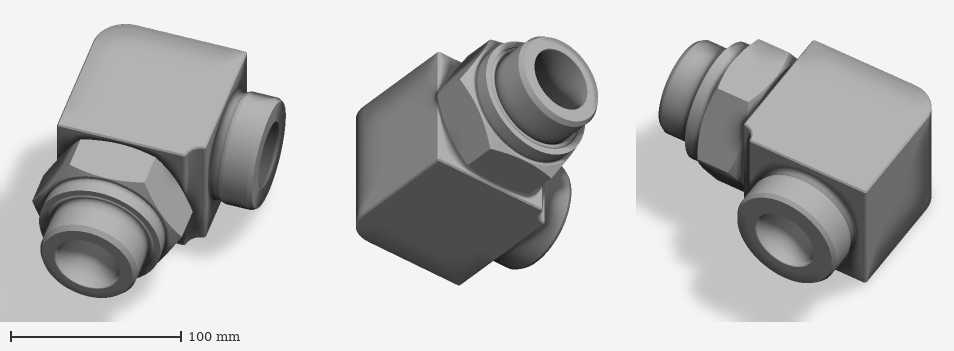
import cadquery as cq
import math


block_height = 80.0
block_half = block_height / 2
block_right = 48.8
block_front = -49.9
back_corner_radius = 20.0
inner_corner_radius = 9.5
block_chamfer = 1.0

bore_diameter = 40.0
bore_mouth_chamfer = 0.3

outlet_diameter = 68.0
outlet_neck_diameter = 65.0
outlet_end = 74.9
outlet_root_fillet = 1.7
outlet_thread_start = 54.5
outlet_undercut_fillet = 0.8
outlet_lead_in = 2.2
outlet_end_chamfer_length = 2.6
outlet_end_diameter = 65.0

overall_length = 155.0
stud_end = block_half - overall_length
stud_diameter = 60.0
stud_tip_diameter = 56.0
stud_chamfer_length = 3.1
shoulder_diameter = 67.0
shoulder_root_fillet = 1.7

nut_across_flats = block_height
nut_across_corners = nut_across_flats / math.cos(math.radians(30))
nut_back = -52.5
nut_length = 28.7
nut_front = nut_back - nut_length
nut_face_diameter = 79.0
nut_chamfer_angle = 30.0

washer_diameter = 75.0
washer_thickness = 9.9
washer_front = nut_front - washer_thickness
ring_outer_diameter = 67.3
ring_inner_diameter = 60.9
ring_section_radius = (ring_outer_diameter - ring_inner_diameter) / 4
ring_center_radius = (ring_outer_diameter + ring_inner_diameter) / 4
ring_protrusion = 0.5
ring_recess_depth = 2 * ring_section_radius - ring_protrusion


def cylinder_along_stud(diameter, y_start, y_end):
    """Cylinder on the stud axis, from y_start toward -Y down to y_end."""
    base = cq.Workplane("XZ", origin=(0, y_start, 0))
    return base.circle(diameter / 2).extrude(y_start - y_end)


def make_block():
    """Square elbow block with a large round at the back corner and a scallop at the inner corner."""
    outline = (
        cq.Workplane("XY", origin=(0, 0, -block_half))
        .moveTo(-block_half, block_front)
        .lineTo(block_right - inner_corner_radius, block_front)
        .radiusArc((block_right, block_front + inner_corner_radius), inner_corner_radius)
        .lineTo(block_right, block_half)
        .lineTo(-block_half, block_half)
        .close()
    )
    block = outline.extrude(block_height)
    block = block.edges("|Z").edges("not <(1,-1,0)").chamfer(block_chamfer)
    block = block.edges("|Z").edges("<(1,-1,0)").fillet(back_corner_radius)
    return block.faces("<Z or >Z").edges().chamfer(block_chamfer)


def make_outlet():
    """Turned outlet with an undercut neck and chamfered thread ends."""
    neck_radius = outlet_neck_diameter / 2
    outlet_radius = outlet_diameter / 2
    profile = (
        cq.Workplane("XY")
        .lineTo(0, neck_radius + outlet_root_fillet)
        .lineTo(block_right, neck_radius + outlet_root_fillet)
        .radiusArc((block_right + outlet_root_fillet, neck_radius), -outlet_root_fillet)
        .lineTo(outlet_thread_start - outlet_undercut_fillet, neck_radius)
        .radiusArc((outlet_thread_start, neck_radius + outlet_undercut_fillet), -outlet_undercut_fillet)
        .lineTo(outlet_thread_start + outlet_lead_in, outlet_radius)
        .lineTo(outlet_end - outlet_end_chamfer_length, outlet_radius)
        .lineTo(outlet_end, outlet_end_diameter / 2)
        .lineTo(outlet_end, 0)
        .close()
    )
    return profile.revolve(360, (0, 0, 0), (1, 0, 0))


def make_stud():
    """Turned stud with a wider shoulder between the block and the nut."""
    shoulder_radius = shoulder_diameter / 2
    stud_radius = stud_diameter / 2
    profile = (
        cq.Workplane("XY")
        .lineTo(shoulder_radius + shoulder_root_fillet, 0)
        .lineTo(shoulder_radius + shoulder_root_fillet, block_front)
        .radiusArc((shoulder_radius, block_front - shoulder_root_fillet), -shoulder_root_fillet)
        .lineTo(shoulder_radius, nut_back)
        .lineTo(stud_radius, nut_back)
        .lineTo(stud_radius, stud_end + stud_chamfer_length)
        .lineTo(stud_tip_diameter / 2, stud_end)
        .lineTo(0, stud_end)
        .close()
    )
    return profile.revolve(360, (0, 0, 0), (0, 1, 0))


def make_bore():
    """Two bores joined by a sharp 45-degree mitre."""
    radius = bore_diameter / 2
    stud_bore = cylinder_along_stud(bore_diameter, radius, stud_end)
    outlet_bore = cq.Workplane("YZ", origin=(-radius, 0, 0)).circle(radius).extrude(outlet_end + radius)
    reach = overall_length
    outlet_side = (
        cq.Workplane("XY", origin=(0, 0, -radius))
        .polyline([(-reach, reach), (reach, reach), (reach, -reach)])
        .close()
        .extrude(bore_diameter)
    )
    stud_side = (
        cq.Workplane("XY", origin=(0, 0, -radius))
        .polyline([(-reach, reach), (-reach, -reach), (reach, -reach)])
        .close()
        .extrude(bore_diameter)
    )
    return stud_bore.intersect(stud_side).union(outlet_bore.intersect(outlet_side))


def make_elbow():
    """Block, outlet and stud in one piece, bored through with lightly chamfered mouths."""
    elbow = make_block().union(make_outlet()).union(make_stud()).cut(make_bore())
    bore_mouths = elbow.faces("<Y or >X").edges(cq.selectors.RadiusNthSelector(0))
    return bore_mouths.chamfer(bore_mouth_chamfer)


def make_nut():
    """Hexagon with its corners on the X axis, both ends chamfered by a cone."""
    hexagon = cq.Workplane("XZ", origin=(0, nut_back, 0)).polygon(6, nut_across_corners).extrude(nut_length)
    face_radius = nut_face_diameter / 2
    corner_radius = nut_across_corners / 2
    chamfer_length = (corner_radius - face_radius) * math.tan(math.radians(nut_chamfer_angle))
    turned_envelope = (
        cq.Workplane("XY")
        .polyline([
            (0, nut_back),
            (face_radius, nut_back),
            (corner_radius, nut_back - chamfer_length),
            (corner_radius, nut_front + chamfer_length),
            (face_radius, nut_front),
            (0, nut_front),
        ])
        .close()
        .revolve(360, (0, 0, 0), (0, 1, 0))
    )
    stud_hole = cylinder_along_stud(stud_diameter, nut_back, nut_front)
    return hexagon.intersect(turned_envelope).cut(stud_hole)


def make_washer():
    """Washer with a recess in its front face for the sealing ring."""
    disc = cylinder_along_stud(washer_diameter, nut_front, washer_front)
    stud_hole = cylinder_along_stud(stud_diameter, nut_front, washer_front)
    recess = cylinder_along_stud(ring_outer_diameter, washer_front + ring_recess_depth, washer_front)
    return disc.cut(stud_hole).cut(recess)


def make_sealing_ring():
    """Round-section ring, standing slightly proud of the washer face."""
    center_y = washer_front - ring_protrusion + ring_section_radius
    section = cq.Workplane("XY").center(ring_center_radius, center_y).circle(ring_section_radius)
    return section.revolve(360, (-ring_center_radius, 0, 0), (-ring_center_radius, 1, 0))


elbow = make_elbow()
nut = make_nut()
washer = make_washer()
sealing_ring = make_sealing_ring()

result = cq.Compound.makeCompound([elbow.val(), nut.val(), washer.val(), sealing_ring.val()])